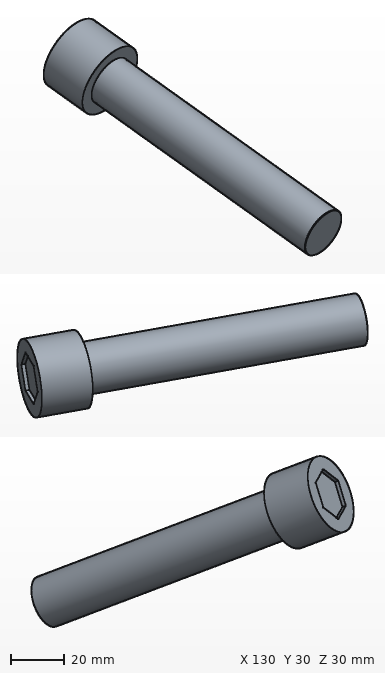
import cadquery as cq
import math

total_length = 130.0
head_diameter = 30.0
head_height = 20.0
shank_diameter = 20.0
tip_chamfer = 0.2
socket_across_flats = 17.0
socket_depth = 1.5

x_head_face = -total_length / 2
shank_length = total_length - head_height
socket_across_corners = socket_across_flats / math.cos(math.pi / 6)


def make_head():
    plane = cq.Workplane("YZ", origin=(x_head_face, 0, 0))
    return plane.circle(head_diameter / 2).extrude(head_height)


def make_shank():
    plane = cq.Workplane("YZ", origin=(x_head_face + head_height, 0, 0))
    shank = plane.circle(shank_diameter / 2).extrude(shank_length)
    return shank.faces(">X").chamfer(tip_chamfer)


def make_socket():
    plane = cq.Workplane("YZ", origin=(x_head_face, 0, 0))
    return plane.polygon(6, socket_across_corners).extrude(socket_depth)


result = make_head().union(make_shank()).cut(make_socket())